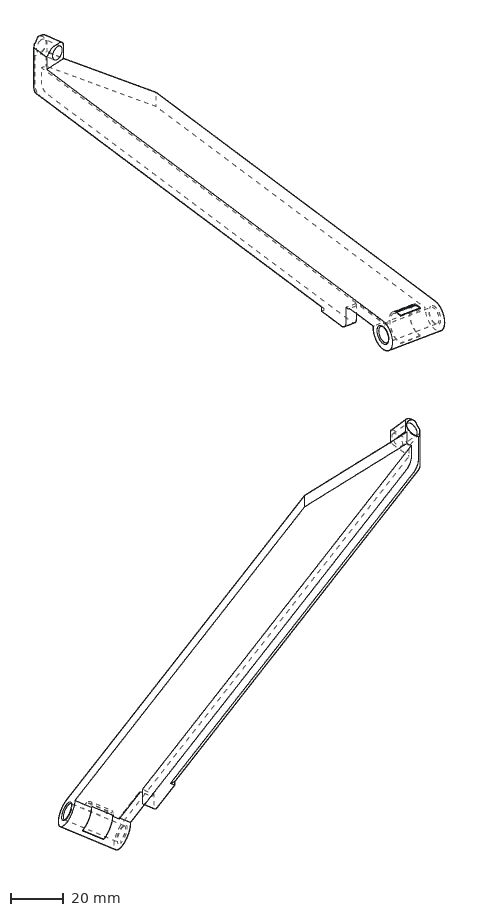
import cadquery as cq
import math

length = 236.5
width = 24.4
height = 24.5

plate_top = 16.3
barrel_radius = 6.5
bore_radius = 3.3
bore_chamfer = 0.5
barrel_x = length - barrel_radius
barrel_z = plate_top - barrel_radius
plate_bottom = barrel_z

channel_y_start = 7.8
channel_y_end = 17.0
channel_floor_radius = 6.1
channel_outer_radius = 6.9
channel_reach_x = barrel_x + 0.7

wall_thickness = 5.0
wall_tip_radius = 3.5
wall_end_x = 206.0
wall_end_radius = 2.8
edge_chamfer = 2.0
chamfer_end_x = 190.0

relief_top = 10.6
relief_radius = 3.5

slope_end_x = 47.8
slope_angle = math.radians(20)
plate_tip_width = width - slope_end_x * math.tan(slope_angle)

nose_length = 10.5
nose_tip_width = 7.5
nose_angle = math.radians(15)
nose_bevel = 2.8
nose_blend_radius = 2.4
nose_hole_radius = 2.8
nose_hole_y = 3.8
nose_hole_z = 20.5
countersink = 1.2


def box(x_start, x_end, y_start, y_end, z_start, z_end):
    """Axis-aligned box between two corners."""
    size = (x_end - x_start, y_end - y_start, z_end - z_start)
    return cq.Workplane("XY").box(*size, centered=False).translate((x_start, y_start, z_start))


def barrel_cylinder(radius, y_start, y_end):
    """Cylinder on the barrel axis."""
    return (
        cq.Workplane("XZ", origin=(barrel_x, y_start, barrel_z))
        .circle(radius)
        .extrude(y_start - y_end)
    )


def make_plate():
    """Top plate with its sloped side."""
    outline = [(0, 0), (barrel_x, 0), (barrel_x, width), (slope_end_x, width), (0, plate_tip_width)]
    return (
        cq.Workplane("XY", origin=(0, 0, plate_bottom))
        .polyline(outline)
        .close()
        .extrude(plate_top - plate_bottom)
    )


def make_wall():
    """Side wall: a long bevelled stretch from the tip and a plain stretch at its end."""
    bevelled = box(0, chamfer_end_x, 0, wall_thickness, 0, plate_top)
    bevelled = bevelled.edges("|Y and <X and <Z").fillet(wall_tip_radius)
    bevelled = bevelled.faces("<Y").edges("not(>X or >Z)").chamfer(edge_chamfer)
    plain = box(chamfer_end_x, wall_end_x, 0, wall_thickness, 0, plate_top)
    plain = plain.edges("|Y and >X and <Z").fillet(wall_end_radius)
    return bevelled.union(plain)


def make_relief():
    """Cutter that lifts the wall underside between the wall end and the barrel."""
    relief = box(wall_end_x, barrel_x, 0, wall_thickness, 0, relief_top)
    return relief.edges("|Y and <X and >Z").fillet(relief_radius)


def make_tip_bevel():
    """Cutter for the vertical corner at the tip, above the rounded lower corner."""
    return (
        cq.Workplane("XY", origin=(0, 0, wall_tip_radius))
        .polyline([(0, 0), (edge_chamfer, 0), (0, edge_chamfer)])
        .close()
        .extrude(height)
    )


def make_nose():
    """Nose block with a bevelled and softened top and a rear face square to its own sloped side."""
    slant = math.tan(nose_angle)
    rear_x = (nose_length - slant * nose_tip_width) / (1 + slant**2)
    rear_y = nose_tip_width + slant * rear_x
    nose = (
        cq.Workplane("XY", origin=(0, 0, plate_top))
        .polyline([(0, 0), (nose_length, 0), (rear_x, rear_y), (0, nose_tip_width)])
        .close()
        .extrude(height - plate_top)
    )
    front_top_edge = nose.faces("<Y").edges(">Z")
    nose = front_top_edge.chamfer(nose_bevel)
    bevel_top_edge = cq.selectors.NearestToPointSelector((nose_length / 2, nose_bevel, height))
    nose = nose.edges(bevel_top_edge).fillet(nose_blend_radius)
    sloped_top_edge = cq.selectors.NearestToPointSelector(
        (rear_x / 2, (nose_tip_width + rear_y) / 2, height)
    )
    return nose.edges(sloped_top_edge).fillet(nose_blend_radius)


def make_nose_hole():
    """Cutter for the hole along the nose, countersunk at the tip."""
    axis = cq.Vector(math.cos(nose_angle), math.sin(nose_angle), 0)
    mouth = cq.Vector(0, nose_hole_y, nose_hole_z)
    hole = cq.Solid.makeCylinder(nose_hole_radius, 3 * nose_length, mouth - axis * nose_length, axis)
    cone_depth = 2 * countersink
    cone_start = mouth - axis * countersink
    cone = cq.Solid.makeCone(
        nose_hole_radius + cone_depth, nose_hole_radius, cone_depth, cone_start, axis
    )
    return cq.Workplane(hole).union(cq.Workplane(cone))


def make_channel():
    """Cutter for the curved channel, kept to the -X side of the barrel."""
    outer = barrel_cylinder(channel_outer_radius, channel_y_start, channel_y_end)
    inner = barrel_cylinder(channel_floor_radius, channel_y_start, channel_y_end)
    return outer.cut(inner).intersect(box(0, channel_reach_x, 0, width, 0, height))


def make_bore():
    """Cutter for the barrel bore, widened by a chamfer at each mouth."""
    mouth_radius = bore_radius + bore_chamfer
    front_cone = cq.Solid.makeCone(
        mouth_radius, bore_radius, bore_chamfer, cq.Vector(barrel_x, 0, barrel_z), cq.Vector(0, 1, 0)
    )
    back_cone = cq.Solid.makeCone(
        mouth_radius, bore_radius, bore_chamfer, cq.Vector(barrel_x, width, barrel_z), cq.Vector(0, -1, 0)
    )
    bore = barrel_cylinder(bore_radius, 0, width)
    return bore.union(cq.Workplane(front_cone)).union(cq.Workplane(back_cone))


body = make_plate().union(make_wall()).cut(make_relief())
body = body.union(barrel_cylinder(barrel_radius, 0, width)).union(make_nose())
result = (
    body.cut(make_tip_bevel())
    .cut(make_nose_hole())
    .cut(make_channel())
    .cut(make_bore())
)